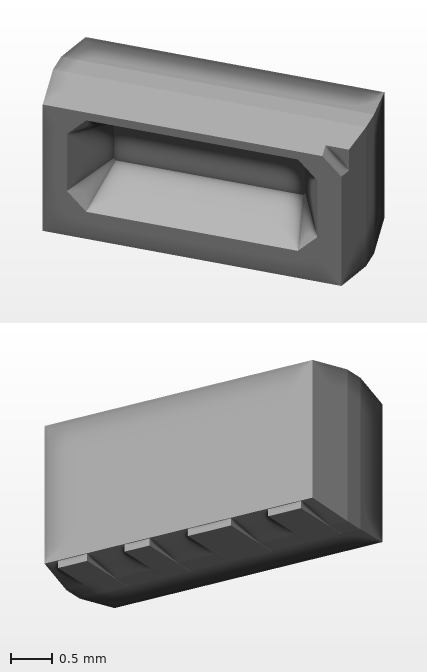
import cadquery as cq
import math

length = 4.0
depth = 1.6
height = 2.0

band_width = 0.3
draft_angle = 8.0
pad_drop = 0.005
body_height = height - pad_drop
draft_depth = (depth - band_width) / 2
front_y = -depth / 2
body_center_z = pad_drop / 2

window_length = 3.2
window_height = 1.31
window_center_z = 0.14
window_chamfer = 0.25
window_taper = 30.1
window_depth = draft_depth

mark_depth = 0.2
mark_leg = 0.3

pad_spans = [(-1.735, -1.27), (-0.74, -0.125), (0.42, 0.775), (1.31, 1.725)]
pad_front_y = -band_width / 2
pad_back_y = 0.79
pad_block_height = 0.2


def face_plane(y, normal_y):
    """Plane across the body at y, with local X along the part's X."""
    return cq.Workplane(cq.Plane((0, y, body_center_z), (1, 0, 0), (0, normal_y, 0)))


def make_body():
    band_edge = band_width / 2
    body = face_plane(-band_edge, 1).rect(length, body_height).extrude(band_width)
    for side in (-1, 1):
        half = face_plane(side * band_edge, side).rect(length, body_height)
        body = body.union(half.extrude(draft_depth, taper=draft_angle))
    return body


def make_window():
    outline = (
        cq.Sketch()
        .rect(window_length, window_height)
        .vertices()
        .chamfer(window_chamfer)
    )
    plane = cq.Plane((0, front_y, window_center_z), (1, 0, 0), (0, 1, 0))
    return cq.Workplane(plane).placeSketch(outline).extrude(window_depth, taper=window_taper)


def make_corner_mark():
    inset = (draft_depth - mark_depth) * math.tan(math.radians(draft_angle))
    corner_x = length / 2 - inset
    corner_z = height / 2 - inset
    return (
        cq.Workplane("XZ", origin=(0, front_y, 0))
        .moveTo(corner_x, corner_z)
        .lineTo(corner_x - mark_leg, corner_z)
        .lineTo(corner_x, corner_z - mark_leg)
        .close()
        .extrude(-mark_depth)
    )


def make_pad(left, right):
    mounting_z = -height / 2
    pad_width = right - left
    pad_depth = pad_back_y - pad_front_y
    block = cq.Workplane("XY").box(pad_width, pad_depth, pad_block_height, centered=False)
    return block.translate((left, pad_front_y, mounting_z))


result = make_body().cut(make_window()).cut(make_corner_mark())
for left_edge, right_edge in pad_spans:
    result = result.union(make_pad(left_edge, right_edge))